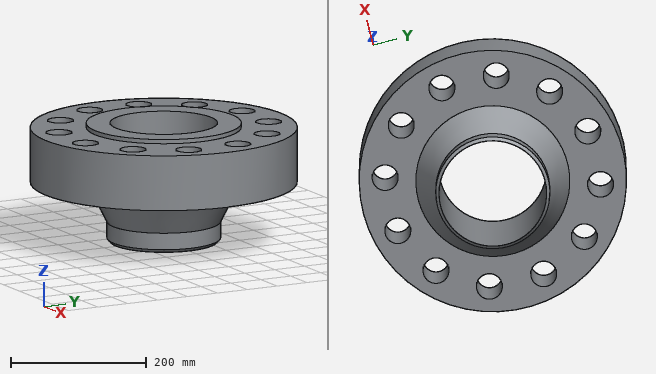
import cadquery as cq

flange_diameter = 393.7
total_height = 178.0

flange_thickness = 82.5
face_diameter = 228.7
face_height = 6.3

hub_diameter = 226.8
neck_diameter = 168.0
neck_height = 30.0
bevel_height = 5.0
bevel_width = 4.7
bore_diameter = 158.3

bolt_count = 12
bolt_hole_diameter = 38.0
bolt_circle_diameter = 317.5

flange_top = total_height - face_height
flange_bottom = flange_top - flange_thickness

flange_radius = flange_diameter / 2
face_radius = face_diameter / 2
hub_radius = hub_diameter / 2
neck_radius = neck_diameter / 2
bore_radius = bore_diameter / 2


def make_body():
    """Revolve the half section, bore included, about the Z axis."""
    return (
        cq.Workplane("XZ")
        .moveTo(bore_radius, 0)
        .lineTo(neck_radius - bevel_width, 0)
        .lineTo(neck_radius, bevel_height)
        .lineTo(neck_radius, neck_height)
        .lineTo(hub_radius, flange_bottom)
        .lineTo(flange_radius, flange_bottom)
        .lineTo(flange_radius, flange_top)
        .lineTo(face_radius, flange_top)
        .lineTo(face_radius, total_height)
        .lineTo(bore_radius, total_height)
        .close()
        .revolve(360, (0, 0, 0), (0, 1, 0))
    )


def make_bolt_holes():
    """Ring of cylinders through the flange, turned by half a pitch."""
    half_pitch = 360 / bolt_count / 2
    return (
        cq.Workplane("XY")
        .workplane(offset=flange_bottom)
        .polarArray(bolt_circle_diameter / 2, half_pitch, 360, bolt_count)
        .circle(bolt_hole_diameter / 2)
        .extrude(flange_thickness)
    )


result = make_body().cut(make_bolt_holes())